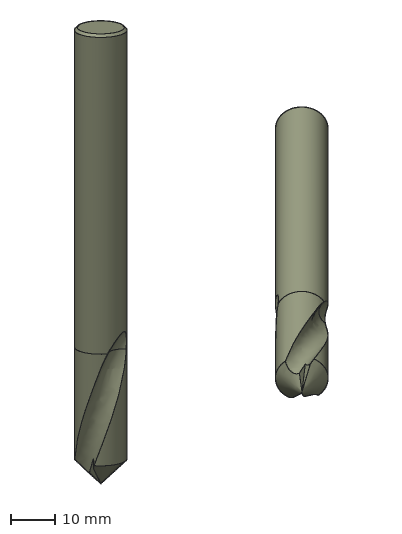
import cadquery as cq
import math

total_length = 108.0
diameter = 12.0
radius = diameter / 2
tip_length = 32.4
top_chamfer = 0.6
point_length = radius

flute_count = 2
flute_radius = 3.9
core_radius = 3.2
flute_offset = core_radius + flute_radius
helix_pitch = 102.6
flute_start_angle = 95.3
flute_full_depth_end = 27.9
runout_top = 36.8
runout_steps = 4

web_half_thickness = 0.1
gash_root_slope = 0.5
gash_height = 7.6
gash_reach = 8.6
gash_root_direction = -45.0
gash_wall_direction = -25.0
gash_heel_direction = -90.0


def polar_vector(length, angle, z=0.0):
    return cq.Vector(length * math.cos(math.radians(angle)), length * math.sin(math.radians(angle)), z)


def helix_angle(z):
    """Direction of the first flute at height z, in degrees."""
    return flute_start_angle + 360.0 * z / helix_pitch


def flute_section(z, offset):
    """Horizontal circle of the flute cutter, with its centre at a distance from the axis."""
    direction = polar_vector(1, helix_angle(z))
    plane = cq.Plane(direction * offset + cq.Vector(0, 0, z), direction, (0, 0, 1))
    return cq.Workplane(plane).circle(flute_radius).wires().val()


def make_helical_cutter():
    """Full-depth stretch of the flute."""
    twist = helix_angle(flute_full_depth_end) - flute_start_angle
    return (
        cq.Workplane("XY")
        .moveTo(flute_offset, 0)
        .circle(flute_radius)
        .twistExtrude(flute_full_depth_end, twist)
        .rotate((0, 0, 0), (0, 0, 1), flute_start_angle)
    )


def make_runout_cutter():
    """Top stretch of the flute, which leaves the shank along a circular arc."""
    rise = runout_top - flute_full_depth_end
    shift = radius - core_radius
    arc_radius = (rise**2 + shift**2) / (2 * shift)
    sections = []
    for step in range(runout_steps + 2):
        height = rise * step / runout_steps
        offset = flute_offset + arc_radius - math.sqrt(arc_radius**2 - height**2)
        sections.append(flute_section(flute_full_depth_end + height, offset))
    return cq.Workplane(cq.Solid.makeLoft(sections))


def cut_flutes(body):
    for index in range(flute_count):
        turn = 360.0 * index / flute_count
        for cutter in (make_helical_cutter(), make_runout_cutter()):
            body = body.cut(cutter.rotate((0, 0, 0), (0, 0, 1), turn))
    return body


def make_gash_cutter():
    """V-shaped wedge whose root climbs outward from the point of the drill."""
    root = polar_vector(web_half_thickness, gash_root_direction)
    corners = [
        root,
        root + polar_vector(gash_reach, gash_heel_direction),
        root + polar_vector(gash_reach, gash_wall_direction),
    ]
    section = cq.Face.makeFromWires(cq.Wire.makePolygon(corners, close=True))
    climb = polar_vector(gash_root_slope * gash_height, gash_root_direction, gash_height)
    return cq.Workplane(cq.Solid.extrudeLinear(section, climb))


def cut_gashes(body):
    for index in range(flute_count):
        turn = 360.0 * index / flute_count
        body = body.cut(make_gash_cutter().rotate((0, 0, 0), (0, 0, 1), turn))
    return body


def make_shank():
    blank = (
        cq.Workplane("XY", origin=(0, 0, tip_length))
        .circle(radius)
        .extrude(total_length - tip_length)
        .faces(">Z")
        .chamfer(top_chamfer)
    )
    return cut_flutes(blank)


def make_cutting_tip():
    blank = (
        cq.Workplane("XZ")
        .polyline([(0, 0), (radius, point_length), (radius, tip_length), (0, tip_length)])
        .close()
        .revolve(360, (0, 0, 0), (0, 1, 0))
    )
    return cut_gashes(cut_flutes(blank))


shank = make_shank()
cutting_tip = make_cutting_tip()
result = cq.Compound.makeCompound([shank.val(), cutting_tip.val()])